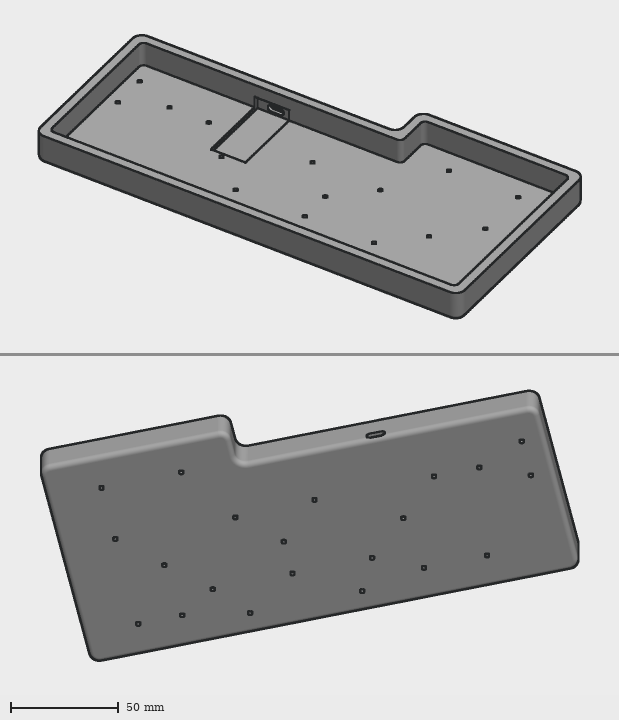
import cadquery as cq

length = 233.5
width = 109.5
height = 16.0
cavity_length = 223.5
wall = (length - cavity_length) / 2
floor = 3.0
outer_corner_radius = wall
inner_corner_radius = wall / 2
bottom_edge_radius = wall / 2

seven_key_span = 133.0
key_pitch = seven_key_span / 7
grid_right = 90.5
grid_back = 2 * key_pitch

step_x = 26.2
back_y = width / 2
lower_back_y = back_y - key_pitch

bay_left = -49.7
bay_width = key_pitch
bay_length = 2 * key_pitch
bay_depth = 2.0
bay_height_above_floor = 6.0
bay_wall_depth = wall / 2

port_width = 8.6
port_height = 3.5
port_center_x = -39.7
port_center_z = floor + 0.7

hole_diameter = 2.0
left_side_hole_x = -105.5
switch_row = 1.5
switch_row_left_hole_x = -83.1
raised_hole_y = 8.5
lower_key_row_y = -27.3
bottom_row_hole_xs = (-76.0, -45.8, 69.5)
front_hole_xs = (-15.0, 38.5)
front_hole_y = -44.0


def column_x(column):
    return grid_right - column * key_pitch


def row_y(row):
    return grid_back - row * key_pitch


def stepped_block(inset, corner_radius, bottom_z):
    """L-shaped prism up to the rim, inset from the outer sides, with rounded upright edges."""
    side_x = length / 2 - inset
    outline = [
        (-side_x, -back_y + inset),
        (side_x, -back_y + inset),
        (side_x, back_y - inset),
        (step_x + inset, back_y - inset),
        (step_x + inset, lower_back_y - inset),
        (-side_x, lower_back_y - inset),
    ]
    block = (
        cq.Workplane("XY", origin=(0, 0, bottom_z))
        .polyline(outline)
        .close()
        .extrude(height - bottom_z)
    )
    return block.edges("|Z").fillet(corner_radius)


def box_from_corner(corner, size):
    return cq.Workplane("XY").box(*size, centered=False).translate(corner)


def controller_bay():
    """Floor pocket joined to a taller recess in the inner face of the back wall."""
    inner_back_y = lower_back_y - wall
    bay_bottom = floor - bay_depth
    pocket = box_from_corner(
        (bay_left, inner_back_y - bay_length, bay_bottom),
        (bay_width, bay_length, bay_depth),
    )
    recess = box_from_corner(
        (bay_left, inner_back_y, bay_bottom),
        (bay_width, bay_wall_depth, bay_depth + bay_height_above_floor),
    )
    return pocket.union(recess)


def connector_port():
    """Round-ended slot through the back wall."""
    return (
        cq.Workplane("XZ", origin=(port_center_x, lower_back_y, port_center_z))
        .slot2D(port_width, port_height)
        .extrude(wall)
    )


def screw_holes():
    """Pins that cut the screw holes through the floor, listed from back to front."""
    centers = [(column_x(column), row_y(0)) for column in (0, 2)]
    centers += [(left_side_hole_x, row_y(row)) for row in (1, 2)]
    centers += [(column_x(column), row_y(switch_row)) for column in (0, 5, 8)]
    centers += [(switch_row_left_hole_x, row_y(switch_row))]
    centers += [(column_x(3), raised_hole_y)]
    centers += [(column_x(column), row_y(switch_row + 1)) for column in (1, 4, 7)]
    centers += [(column_x(column), lower_key_row_y) for column in (2, 4, 6)]
    centers += [(x, row_y(4)) for x in (*bottom_row_hole_xs, column_x(0))]
    centers += [(x, front_hole_y) for x in front_hole_xs]
    return cq.Workplane("XY").pushPoints(centers).circle(hole_diameter / 2).extrude(floor)


case = stepped_block(0, outer_corner_radius, 0).faces("<Z").edges().fillet(bottom_edge_radius)
cavity = stepped_block(wall, inner_corner_radius, floor)
result = case.cut(cavity).cut(controller_bay()).cut(connector_port()).cut(screw_holes())